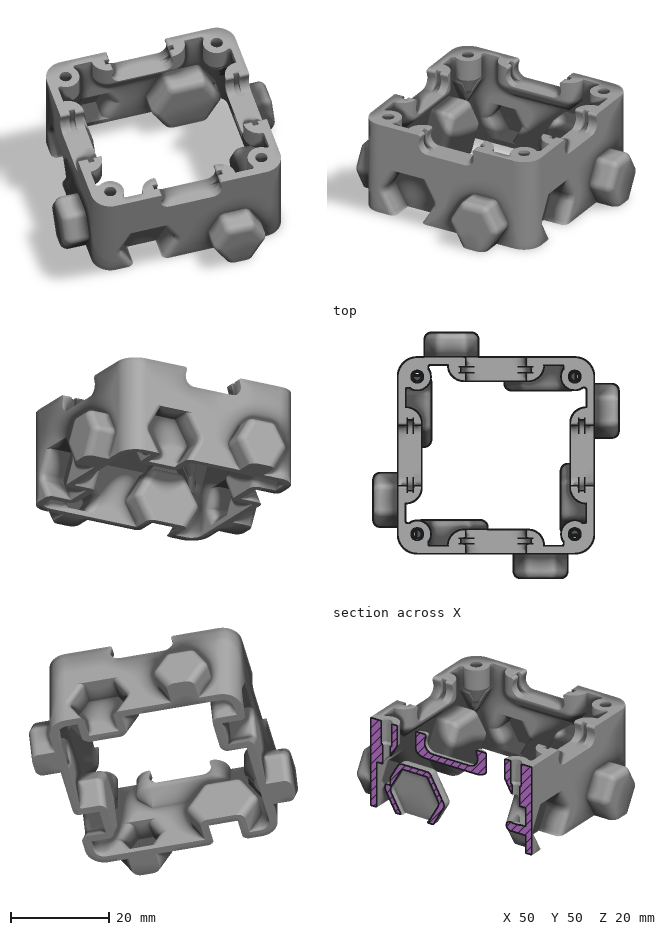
import cadquery as cq
import math


body_size = 40.0
height = 20.0
wall = 1.65
corner_radius = 4.0
half_body = body_size / 2
half_cavity = half_body - wall
edge_search = 0.05

hex_offset = 9.05
hex_height = 5.05
plug_length = 5.0
plug_apothem = 5.0
plug_fillet = 1.5
socket_clearance = 0.3
socket_depth = plug_length + 0.25
socket_flare = 1.0
socket_corner = 1.5
hollow_floor = 1.0
housing_apothem = 6.55
housing_corner = 1.2
housing_fillet = 1.5

post_inset = 4.0
post_radius = 2.8
web_reach = 6.25
web_fillet = 0.4
post_cone_top = 15.5
post_cone_angle = 60.0
post_taper_top = 15.25
post_taper_bottom = 6.0
screw_diameter = 2.5
pilot_diameter = 1.75
screw_depth = 5.0
screw_cone_height = 0.5

notch_depth = 4.0
notch_radius = notch_depth / 2
notch_arc_centre = 4.5
notch_mouth = 6.15
notch_lip = 0.5
flank_angle = 15.0
groove_width = 1.2
groove_setback = 2.0
groove_mouth = 7.2
groove_lip = 0.3
groove_radius = 0.75
pad_depth = 4.95
pad_skirt = 0.6
pad_edge_radius = 1.5
notch_floor = height - notch_depth
pad_radius = pad_depth - wall
pad_half_width = 9.8


def hexagon(centre_x, apothem, top_extra=0.0, bottom_extra=0.0):
    """Flat-topped hexagon; the extras prolong the slanted sides past the flat top and bottom."""
    side = 2 * apothem / math.sqrt(3)
    top_half = side / 2 - top_extra / math.sqrt(3)
    bottom_half = side / 2 - bottom_extra / math.sqrt(3)
    points = [
        (-top_half, apothem + top_extra),
        (-side, 0),
        (-bottom_half, -apothem - bottom_extra),
        (bottom_half, -apothem - bottom_extra),
        (side, 0),
        (top_half, apothem + top_extra),
    ]
    return [(centre_x + x, hex_height + z) for x, z in points]


def prism(points, y, length):
    """Extrude an X-Z outline toward -Y, starting from the plane at y."""
    return cq.Workplane("XZ", origin=(0, y, 0)).polyline(points).close().extrude(length)


def slab(z_low, z_high):
    """Large block that keeps only what lies between two heights."""
    reach = 2 * body_size
    return cq.Workplane("XY", origin=(0, 0, z_low)).rect(reach, reach).extrude(z_high - z_low)


def around(feature):
    """Quarter-turn copies of a feature about the Z axis, fused."""
    copies = feature
    for turn in range(1, 4):
        copies = copies.union(feature.rotate((0, 0, 0), (0, 0, 1), 90 * turn))
    return copies


def flared_opening(centre_x, apothem, half_height, flare, depth, corner):
    """Hexagonal cutter entering the plane y = 0 toward +Y, to the given depth.

    The slanted sides roll over into the entry plane; the flat top and floor stay sharp.
    """
    stretch = half_height - apothem
    hole = prism(hexagon(centre_x, apothem, stretch + flare, stretch), depth, depth)
    if corner > 0:
        hole = hole.edges("|Y").edges("not >Z").fillet(corner)
    block_width = body_size
    block = (
        cq.Workplane("XZ", origin=(0, 2 * flare, 0))
        .center(centre_x, hex_height)
        .rect(block_width, block_width)
        .extrude(2 * flare)
    )
    die = block.cut(hole)
    mouth_edges = die.faces("<Y").val().innerWires()[0].Edges()
    rounded_die = cq.Workplane(die.val().fillet(flare, mouth_edges))
    cutter = hole.union(block.cut(rounded_die))
    return cutter.intersect(slab(hex_height - half_height, hex_height + half_height))


def plug():
    """Rounded hexagonal block standing out of the front wall."""
    tip = half_body + plug_length
    to_base = hex_height - plug_apothem
    outline = hexagon(hex_offset, plug_apothem, bottom_extra=to_base)
    block = prism(outline, -half_cavity, plug_length + wall)
    block = block.edges("|Y").edges(">Z or <X or >X").fillet(plug_fillet)
    rim = cq.selectors.BoxSelector(
        (0, -tip - edge_search, edge_search), (half_body, -tip + edge_search, height))
    return block.edges(rim).fillet(plug_fillet)


def plug_hollow():
    """Pocket behind the plug, open to the cavity and leaving a shell around it."""
    half_height = plug_apothem - hollow_floor
    opening = flared_opening(-hex_offset, plug_apothem - wall, half_height, wall, plug_length, 0)
    return opening.rotate((0, 0, 0), (0, 0, 1), 180).translate((0, -half_cavity, 0))


def socket_housing():
    """Rounded hexagonal bulge inside the cavity that encloses the socket."""
    inner_end = socket_depth + wall - half_body
    block = prism(hexagon(-hex_offset, housing_apothem), inner_end, inner_end + half_cavity)
    block = block.edges("|Y").fillet(housing_corner)
    block = block.faces(">Y").edges().fillet(housing_fillet)
    return block.intersect(slab(0, height))


def socket():
    """Cutter for the hexagonal socket in the front wall."""
    apothem = plug_apothem + socket_clearance
    opening = flared_opening(-hex_offset, apothem, apothem, socket_flare, socket_depth, socket_corner)
    return opening.translate((0, -half_body, 0))


def corner_square(size, z):
    """Square wire in the front left corner, flush with the outer faces."""
    centre = -half_body + size / 2
    return cq.Workplane("XY", origin=(centre, centre, z)).rect(size, size)


def post():
    """Screw post in the front left corner, tapering into the corner underneath."""
    axis = -half_body + post_inset
    length = height - post_taper_bottom
    cone_height = post_radius * math.tan(math.radians(post_cone_angle))
    profile = [
        (0, height),
        (post_radius, height),
        (post_radius, post_cone_top),
        (0, post_cone_top - cone_height),
    ]
    shaft = cq.Workplane("XZ").polyline(profile).close().revolve(360, (0, 0, 0), (0, 1, 0))
    shaft = shaft.translate((axis, axis, 0))
    corner = (-half_body, -half_body, post_taper_bottom)
    for x_size, y_size in ((web_reach, post_inset), (post_inset, web_reach)):
        web = cq.Workplane("XY").box(x_size, y_size, length, centered=False).translate(corner)
        shaft = shaft.union(web)
    reach = post_inset + post_radius
    taper = (
        corner_square(wall, post_taper_bottom)
        .workplane(offset=post_taper_top - post_taper_bottom)
        .center((reach - wall) / 2, (reach - wall) / 2)
        .rect(reach, reach)
        .loft(combine=True)
    )
    head = corner_square(reach, post_taper_top).extrude(height - post_taper_top)
    return shaft.intersect(taper.union(head))


def screw_hole():
    """Screw hole of the front left post, necking down to the pilot diameter."""
    radius = screw_diameter / 2
    pilot = pilot_diameter / 2
    axis = -half_body + post_inset
    neck = height - screw_depth
    profile = [
        (0, height),
        (radius, height),
        (radius, neck),
        (pilot, neck - screw_cone_height),
        (pilot, post_taper_bottom),
        (0, post_taper_bottom),
    ]
    hole = cq.Workplane("XZ").polyline(profile).close().revolve(360, (0, 0, 0), (0, 1, 0))
    return hole.translate((axis, axis, 0))


def pad_profile(plane):
    """Cross-section of the pad from the inner wall face inward, on the given plane."""
    edge_z = notch_floor - pad_skirt
    middle = math.radians(45 / 2)
    tangent = pad_edge_radius * math.tan(middle)
    arc_start_z = edge_z + tangent
    arc_centre = pad_radius - pad_edge_radius
    arc_middle = (
        arc_centre + pad_edge_radius * math.cos(middle),
        arc_start_z - pad_edge_radius * math.sin(middle),
    )
    arc_drop = tangent * math.sqrt(0.5)
    return (
        plane.moveTo(0, height)
        .lineTo(pad_radius, height)
        .lineTo(pad_radius, arc_start_z)
        .threePointArc(arc_middle, (pad_radius - arc_drop, edge_z - arc_drop))
        .lineTo(0, edge_z - pad_radius)
        .close()
    )


def pad():
    """Thickened stretch of the front wall around the notch, with a 45 degree underside.

    One profile runs straight along the middle and turns into a cone at both ends.
    """
    straight_half = pad_half_width - pad_radius
    left = cq.Workplane("YZ", origin=(-straight_half, -half_cavity, 0))
    right = cq.Workplane("YZ", origin=(straight_half, -half_cavity, 0))
    bar = pad_profile(left).extrude(2 * straight_half)
    left_end = pad_profile(left).revolve(90, (0, 0, 0), (0, 1, 0))
    right_end = pad_profile(right).revolve(90, (0, 0, 0), (0, -1, 0))
    return bar.union(left_end).union(right_end)


def notch():
    """Cable notch through the front wall and pad: round flanks under a rounded, narrower mouth."""
    arc_z = notch_floor + notch_radius
    arc_x = notch_arc_centre
    turn = math.radians(flank_angle)
    flank = (arc_x + notch_radius * math.cos(turn), arc_z + notch_radius * math.sin(turn))
    lip_z = height - notch_lip
    lip_bulge = notch_lip * (1 - math.sqrt(0.5))
    lip_middle = (notch_mouth + lip_bulge, height - lip_bulge)
    widest = (arc_x + notch_radius, arc_z)
    return (
        cq.Workplane("XZ", origin=(0, pad_depth - half_body, 0))
        .moveTo(-arc_x, notch_floor)
        .lineTo(arc_x, notch_floor)
        .threePointArc(widest, flank)
        .lineTo(notch_mouth, lip_z)
        .threePointArc(lip_middle, (notch_mouth + notch_lip, height))
        .lineTo(-notch_mouth - notch_lip, height)
        .threePointArc((-lip_middle[0], lip_middle[1]), (-notch_mouth, lip_z))
        .lineTo(-flank[0], flank[1])
        .threePointArc((-widest[0], widest[1]), (-arc_x, notch_floor))
        .close()
        .extrude(pad_depth)
    )


def seal_groove():
    """Narrow slot that widens both flanks of the notch, with rounded lips at the rim."""
    bend = groove_radius * (1 - math.sqrt(0.5))
    lip_bend = groove_lip * (1 - math.sqrt(0.5))
    floor_half = groove_mouth - groove_radius
    lip_half = groove_mouth + groove_lip
    bend_top = notch_floor + groove_radius
    return (
        cq.Workplane("XZ", origin=(0, groove_setback + groove_width - half_body, 0))
        .moveTo(-floor_half, notch_floor)
        .lineTo(floor_half, notch_floor)
        .threePointArc((groove_mouth - bend, notch_floor + bend), (groove_mouth, bend_top))
        .lineTo(groove_mouth, height - groove_lip)
        .threePointArc((groove_mouth + lip_bend, height - lip_bend), (lip_half, height))
        .lineTo(-lip_half, height)
        .threePointArc((-groove_mouth - lip_bend, height - lip_bend), (-groove_mouth, height - groove_lip))
        .lineTo(-groove_mouth, bend_top)
        .threePointArc((-groove_mouth + bend, notch_floor + bend), (-floor_half, notch_floor))
        .close()
        .extrude(groove_width)
    )


def rounded_bar(size, radius):
    """Upright square bar with rounded corners, over the full height."""
    return cq.Workplane("XY").rect(size, size).extrude(height).edges("|Z").fillet(radius)


def fillet_webs(housing):
    """Round the grooves where the webs of the posts meet the walls."""
    web_end = half_body - web_reach
    for along in (-web_end, web_end):
        for across in (-half_cavity, half_cavity):
            for x, y in ((along, across), (across, along)):
                low = (x - edge_search, y - edge_search, 0)
                high = (x + edge_search, y + edge_search, height)
                groove = cq.selectors.BoxSelector(low, high)
                housing = housing.edges("|Z").edges(groove).fillet(web_fillet)
    return housing


envelope = rounded_bar(body_size, corner_radius)
cavity = rounded_bar(2 * half_cavity, corner_radius - wall)
posts = around(post()).intersect(envelope)
housing = fillet_webs(envelope.cut(cavity).union(posts))
housing = housing.union(around(pad()))
housing = housing.union(around(plug().union(socket_housing())))
openings = around(plug_hollow().union(socket()).union(notch()).union(seal_groove()))
result = housing.cut(openings).cut(around(screw_hole()))